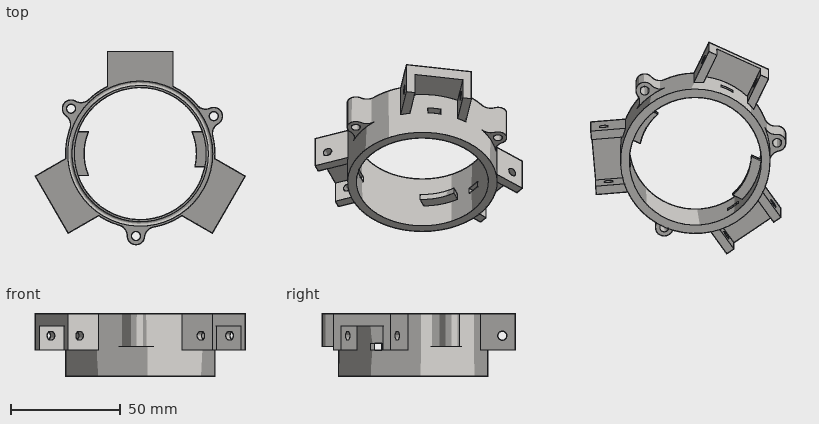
import cadquery as cq
import math

ring_height = 28.5
ring_outer_radius = 34.0
ring_inner_radius = 30.0

groove_mid_radius = 32.0
groove_section_radius = 1.0

block_angles = (90, 210, 330)
block_width = 30.0
block_reach = 16.0
block_bottom = 12.0
block_wall = 4.0
block_roof = 5.5
pin_hole_diameter = 4.0
pin_hole_inset = 6.0
pin_hole_height = 18.5
block_face_distance = math.sqrt(ring_outer_radius**2 - (block_width / 2) ** 2) + block_reach

window_width = 6.0
window_height = 3.0

lug_angles = (27, 147, 267)
lug_distance = 37.52
lug_radius = 4.0
lug_hole_diameter = 4.0
lug_blend_radius = 5.0
lug_height = 15.0

ledge_inner_radius = 25.5
ledge_thickness = 3.0
ledge_bottom = block_bottom
ledge_end = 10.0
short_ledge_end = 6.0

wall_mid_radius = (ring_inner_radius + ring_outer_radius) / 2


def cylinder(radius, bottom, height):
    return cq.Workplane("XY").workplane(offset=bottom).circle(radius).extrude(height)


def box(x_min, x_max, y_min, y_max, z_min, z_max):
    plate = cq.Workplane("XY").box(x_max - x_min, y_max - y_min, z_max - z_min, centered=False)
    return plate.translate((x_min, y_min, z_min))


def turned(shape, angle):
    return shape.rotate((0, 0, 0), (0, 0, 1), angle)


def polar(radius, angle):
    return (radius * math.cos(angle), radius * math.sin(angle))


def make_block():
    """Block on the +X side, open outward and downward, with a pin hole across it."""
    half_width = block_width / 2
    half_pocket = half_width - block_wall
    block = box(0, block_face_distance, -half_width, half_width, block_bottom, ring_height)
    pocket_top = ring_height - block_roof
    pocket = box(0, block_face_distance, -half_pocket, half_pocket, block_bottom, pocket_top)
    pin_hole = (
        cq.Workplane("XZ")
        .center(block_face_distance - pin_hole_inset, pin_hole_height)
        .circle(pin_hole_diameter / 2)
        .extrude(half_width, both=True)
    )
    core = cylinder(wall_mid_radius, 0, ring_height)
    return block.cut(pocket).cut(pin_hole).cut(core)


def make_lug():
    """Lug on the +X side; each blend arc is tangent to the ring and to the lug's round end."""
    blend_distance = ring_outer_radius + lug_blend_radius
    blend_to_lug = lug_radius + lug_blend_radius
    cos_blend = (blend_distance**2 + lug_distance**2 - blend_to_lug**2) / (2 * blend_distance * lug_distance)
    blend_angle = math.acos(cos_blend)
    blend_x, blend_y = polar(blend_distance, blend_angle)

    ring_x, ring_y = polar(ring_outer_radius, blend_angle)
    toward_lug = math.atan2(-blend_y, lug_distance - blend_x)
    toward_ring = blend_angle - math.pi
    lug_dx, lug_dy = polar(lug_blend_radius, toward_lug)
    mid_dx, mid_dy = polar(lug_blend_radius, (toward_lug + toward_ring) / 2)
    end_x, end_y = blend_x + lug_dx, blend_y + lug_dy
    mid_x, mid_y = blend_x + mid_dx, blend_y + mid_dy
    root_x, root_y = polar(wall_mid_radius, blend_angle)

    return (
        cq.Workplane("XY")
        .workplane(offset=ring_height - lug_height)
        .moveTo(root_x, -root_y)
        .lineTo(ring_x, -ring_y)
        .threePointArc((mid_x, -mid_y), (end_x, -end_y))
        .threePointArc((lug_distance + lug_radius, 0), (end_x, end_y))
        .threePointArc((mid_x, mid_y), (ring_x, ring_y))
        .lineTo(root_x, root_y)
        .threePointArc((wall_mid_radius, 0), (root_x, -root_y))
        .close()
        .moveTo(lug_distance, 0)
        .circle(lug_hole_diameter / 2)
        .extrude(lug_height)
    )


def make_ledge(x_min, x_max, y_min, y_max):
    """Part of an annulus inside the ring wall, cut off square at both ends."""
    annulus = cylinder(wall_mid_radius, ledge_bottom, ledge_thickness).cut(
        cylinder(ledge_inner_radius, ledge_bottom, ledge_thickness)
    )
    ledge_top = ledge_bottom + ledge_thickness
    return annulus.intersect(box(x_min, x_max, y_min, y_max, ledge_bottom, ledge_top))


def make_window():
    half_width = window_width / 2
    window_top = block_bottom + window_height
    return box(ledge_inner_radius, ring_outer_radius, -half_width, half_width, block_bottom, window_top)


def make_groove():
    return cq.Workplane(
        cq.Solid.makeTorus(groove_mid_radius, groove_section_radius, cq.Vector(0, 0, ring_height))
    )


result = cylinder(ring_outer_radius, 0, ring_height).cut(cylinder(ring_inner_radius, 0, ring_height))
for angle in block_angles:
    result = result.union(turned(make_block(), angle))
for angle in lug_angles:
    result = result.union(turned(make_lug(), angle))
result = result.union(make_ledge(-ring_outer_radius, 0, -ledge_end, ledge_end))
result = result.union(make_ledge(0, ring_outer_radius, -short_ledge_end, ledge_end))
for angle in block_angles:
    result = result.cut(turned(make_window(), angle))
result = result.cut(make_groove())